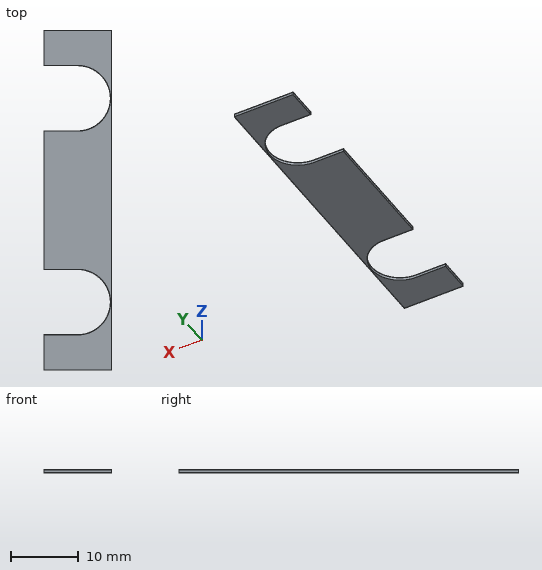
import cadquery as cq

plate_width = 10.0
plate_length = 50.0
plate_thickness = 0.5

slot_width = 9.6
slot_spacing = 30.0
slot_radius = slot_width / 2
slot_centers_y = (-slot_spacing / 2, slot_spacing / 2)


def make_plate():
    """Flat rectangular plate centred on the origin in X and Y, resting on Z = 0."""
    return cq.Workplane("XY").box(
        plate_width, plate_length, plate_thickness, centered=(True, True, False)
    )


def make_slot(center_y):
    """Cutter from the -X edge to a half round centred on the plate's middle line."""
    mouth_x = -plate_width / 2
    return (
        cq.Workplane("XY")
        .moveTo(mouth_x, center_y - slot_radius)
        .lineTo(0, center_y - slot_radius)
        .threePointArc((slot_radius, center_y), (0, center_y + slot_radius))
        .lineTo(mouth_x, center_y + slot_radius)
        .close()
        .extrude(plate_thickness)
    )


result = make_plate()
for slot_center_y in slot_centers_y:
    result = result.cut(make_slot(slot_center_y))